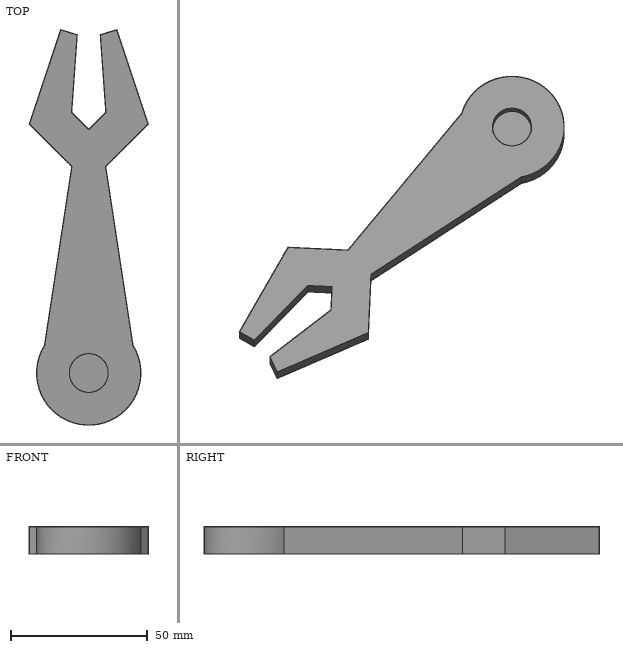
import cadquery as cq
import math

length = 144.5
width = 43.5
thickness = 10.0

eye_radius = 19.1
recess_radius = 7.1
recess_depth = thickness / 2

shank_base_half_width = 16.2
shank_base_y = math.sqrt(eye_radius**2 - shank_base_half_width**2)
neck_half_width = 6.2
neck_y = 75.5

tip_y = length - eye_radius
shoulder_y = tip_y - 34.5
tip_outer_x = 10.3
tip_inner_x = 4.2
tip_inner_y = tip_y - 1.9
slot_corner_x = 6.2
slot_corner_y = tip_y - 30.2
slot_bottom_y = slot_corner_y - slot_corner_x


def plate():
    """Extrude the symmetric outline of eye, shank and jaw."""
    right_side = [
        (shank_base_half_width, shank_base_y),
        (neck_half_width, neck_y),
        (width / 2, shoulder_y),
        (tip_outer_x, tip_y),
        (tip_inner_x, tip_inner_y),
        (slot_corner_x, slot_corner_y),
    ]
    left_side = [(-x, y) for x, y in reversed(right_side)]
    outline = cq.Workplane("XY").polyline(right_side + [(0, slot_bottom_y)] + left_side)
    outline = outline.threePointArc((0, -eye_radius), right_side[0]).close()
    return outline.extrude(thickness)


def eye_recess():
    """Blind round recess cut down from the top face."""
    floor = cq.Workplane("XY").workplane(offset=thickness - recess_depth)
    return floor.circle(recess_radius).extrude(recess_depth)


result = plate().cut(eye_recess())